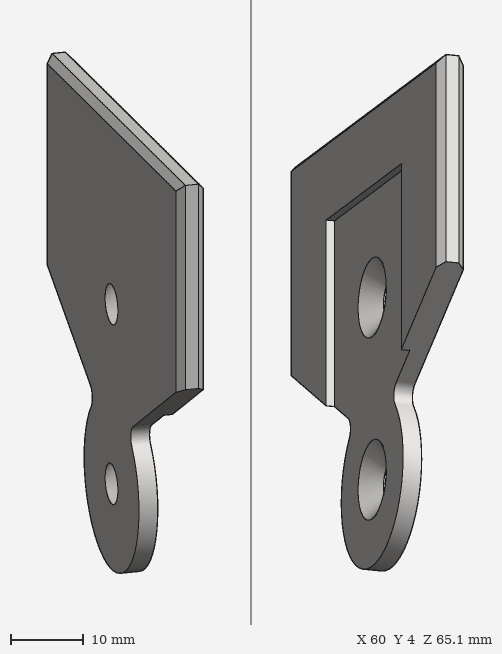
import cadquery as cq
import math

height = 65.1
width = 60.0
thickness = 4.0

shoulder_height = 35.5
slope_angle = 30.0
edge_chamfer = 1.05

tab_radius = 12.4
tab_thickness = 2.75
neck_fillet = 2.0

recess_width = 30.0
recess_top = 53.4

hole_diameter = 5.7
hole_spacing = 26.05
countersink_angle = 90.0

half_width = width / 2
apex_height = shoulder_height - half_width * math.tan(math.radians(slope_angle))


def extrude_back(profile):
    """Extrude an XZ profile from the front face to the full thickness."""
    return profile.extrude(-thickness)


def make_plate():
    """Plate with slopes meeting inside the tab, chamfered on top and sides."""
    outline = (
        cq.Workplane("XZ")
        .moveTo(-half_width, height)
        .lineTo(half_width, height)
        .lineTo(half_width, shoulder_height)
        .lineTo(0, apex_height)
        .lineTo(-half_width, shoulder_height)
        .close()
    )
    plate = extrude_back(outline)
    rims = plate.faces("<Y or >Y").edges("|X or |Z")
    return rims.chamfer(edge_chamfer)


def make_tab():
    return extrude_back(cq.Workplane("XZ").center(0, tab_radius).circle(tab_radius))


def fillet_neck(body):
    """Round the two inside corners where the slopes meet the tab."""
    corners = cq.selectors.BoxSelector(
        (-tab_radius, 0, tab_radius),
        (tab_radius, thickness, 2 * tab_radius),
    )
    return body.edges("|Y").edges(corners).fillet(neck_fillet)


def cut_back_recess(body):
    """Lower the back of the tab, and of a channel running up behind the upper hole."""
    relief = cq.Workplane("XY").box(
        recess_width, thickness, recess_top, centered=(True, False, False)
    )
    return body.cut(relief.translate((0, tab_thickness, 0)))


def cut_countersunk_holes(body):
    """Conical holes that widen from the front face to the recessed back."""
    back_radius = hole_diameter / 2 + tab_thickness * math.tan(math.radians(countersink_angle / 2))
    for hole_height in (tab_radius, tab_radius + hole_spacing):
        cone = cq.Solid.makeCone(
            hole_diameter / 2,
            back_radius,
            tab_thickness,
            pnt=cq.Vector(0, 0, hole_height),
            dir=cq.Vector(0, 1, 0),
        )
        body = body.cut(cq.Workplane(cone))
    return body


body = make_plate().union(make_tab())
body = fillet_neck(body)
body = cut_back_recess(body)
result = cut_countersunk_holes(body)